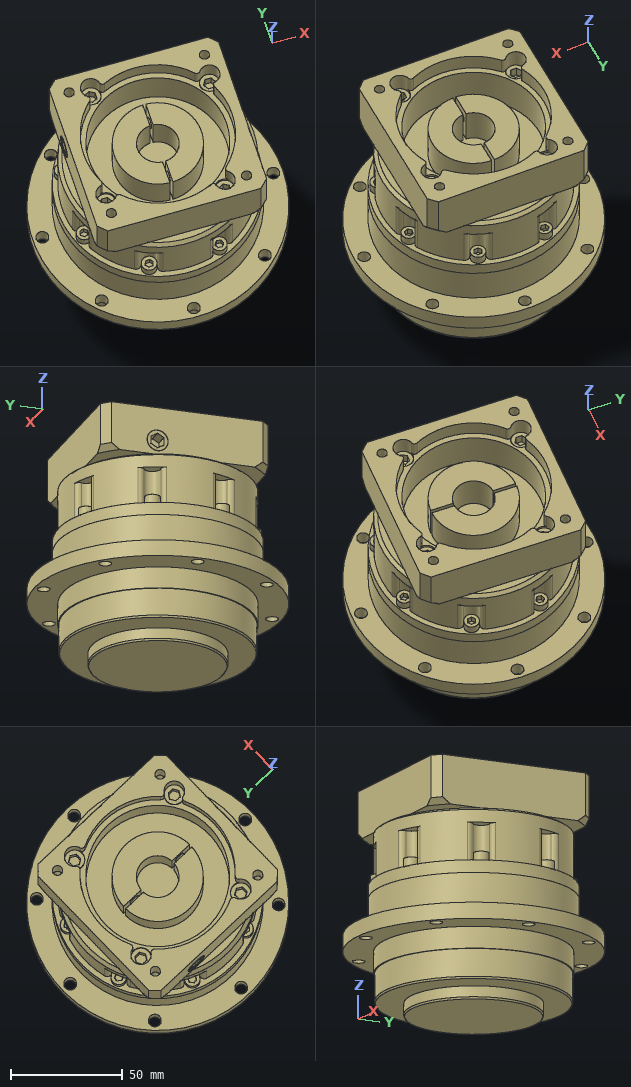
import cadquery as cq
import math

TOTAL_HEIGHT = 108.5
HUB_TOP = 6.0
REGISTER_TOP = 20.0
FLANGE_BOTTOM = 30.1
FLANGE_TOP = 37.6
HOUSING_SPLIT = 54.5
RING_TOP = 60.4
RECESS_TOP = 78.6
CAP_TOP = 85.7
BORE_FLOOR = 81.7
LEDGE_HEIGHT = 100.4
COLLAR_TOP = 99.0

FLANGE_RADIUS = 59.0
RING_RADIUS = 47.5
BODY_RADIUS = 45.1
REGISTER_RADIUS = 44.6
HUB_RADIUS = 31.5
EDGE_CHAMFER_HEIGHT = 1.0
EDGE_CHAMFER_WIDTH = 0.4
FLANGE_HOLE_COUNT = 8
FLANGE_HOLE_RADIUS = 2.8
FLANGE_HOLE_CIRCLE = 54.4

PLATE_WIDTH = 80.0
PLATE_CORNER_CHAMFER = 3.9
CORNER_RELIEF_HEIGHT = 3.0
CORNER_RELIEF_RADIUS = 51.3
CAP_CHAMFER_HEIGHT = 1.2
CAP_CHAMFER_WIDTH = 1.9
PILOT_RADIUS = 34.9
BORE_RADIUS = 32.3
MOTOR_HOLE_COUNT = 4
MOTOR_HOLE_RADIUS = 2.2
MOTOR_HOLE_OFFSET = 31.9
MOTOR_HOLE_DEPTH = 14.2
DRILL_POINT_ANGLE = 118.0

RING_SCREW_COUNT = 8
RING_SCREW_CIRCLE = 43.2
RING_SCREW_HEAD_RADIUS = 3.5
RING_SCREW_HEAD_HEIGHT = 4.2
RING_SCREW_HEX_RADIUS = 2.0
RING_SCREW_SOCKET_DEPTH = 3.0
RING_RECESS_RADIUS = 3.8
RING_RECESS_LIP_RADIUS = 2.4

PILOT_SCREW_COUNT = 4
PILOT_SCREW_CIRCLE = 38.1
PILOT_SCREW_FIRST_ANGLE = 35.0
PILOT_SCREW_RECESS = 1.2
PILOT_SCREW_HEX_RADIUS = 2.8
PILOT_SCREW_SOCKET_DEPTH = 4.7
PILOT_POCKET_RADIUS = 4.6
PILOT_POCKET_LIP_RADIUS = 1.5

PLUG_RADIUS = 5.0
PLUG_HEX_RADIUS = 3.5
PLUG_RECESS = 0.2
PLUG_SOCKET_DEPTH = 7.1

COLLAR_RADIUS = 20.5
COLLAR_BORE_RADIUS = 9.5
COLLAR_SLOT_WIDTH = 1.4
CLAMP_SCREW_OFFSET = 14.0
CLAMP_SCREW_HEIGHT = 92.5
CLAMP_SCREW_RADIUS = 2.5


def cylinder(radius, bottom, top):
    return cq.Workplane("XY").workplane(offset=bottom).circle(radius).extrude(top - bottom)


def revolved(profile):
    """Solid turned about Z from a closed outline of (radius, height) points."""
    return cq.Workplane("XZ").polyline(profile).close().revolve(360, (0, 0, 0), (0, 1, 0))


def hex_socket(radius, depth, top):
    """Upright hexagonal prism below a given height, with a corner toward local +X."""
    return cq.Workplane("XY").workplane(offset=top - depth).polygon(6, 2 * radius).extrude(depth)


def around_axis(tool, circle_radius, count, first_angle):
    """Copies of a tool built on the Z axis, spread evenly over a circle and turned with it."""
    copies = cq.Workplane("XY")
    for index in range(count):
        angle = first_angle + index * 360 / count
        copies = copies.add(tool.translate((circle_radius, 0, 0)).rotate((0, 0, 0), (0, 0, 1), angle))
    return copies.combine(clean=False)


def lipped_recess(pocket_radius, pocket_circle, wall_radius, lip_radius, opens_outward, bottom, top):
    """Round pocket that opens through a round wall, with rounded lips where it meets the wall."""
    sign = -1 if opens_outward else 1
    lip_circle = wall_radius + sign * lip_radius
    reach = pocket_radius + lip_radius
    lip_x = (lip_circle ** 2 + pocket_circle ** 2 - reach ** 2) / (2 * pocket_circle)
    lip_y = math.sqrt(lip_circle ** 2 - lip_x ** 2)
    wall_x = lip_x * wall_radius / lip_circle
    wall_y = lip_y * wall_radius / lip_circle
    neck_x = pocket_circle + (lip_x - pocket_circle) * pocket_radius / reach
    neck_y = lip_y * pocket_radius / reach
    toward_x = (wall_x + neck_x) / 2 - lip_x
    toward_y = (wall_y + neck_y) / 2 - lip_y
    toward = lip_radius / math.hypot(toward_x, toward_y)
    middle_x = lip_x + toward_x * toward
    middle_y = lip_y + toward_y * toward
    open_x = wall_x - sign * pocket_radius
    return (
        cq.Workplane("XY").workplane(offset=bottom)
        .moveTo(open_x, -wall_y)
        .lineTo(wall_x, -wall_y)
        .threePointArc((middle_x, -middle_y), (neck_x, -neck_y))
        .threePointArc((pocket_circle + sign * pocket_radius, 0), (neck_x, neck_y))
        .threePointArc((middle_x, middle_y), (wall_x, wall_y))
        .lineTo(open_x, wall_y)
        .close()
        .extrude(top - bottom)
    )


def make_output_housing():
    hub_bottom_radius = HUB_RADIUS - EDGE_CHAMFER_WIDTH
    register_bottom_radius = REGISTER_RADIUS - EDGE_CHAMFER_WIDTH
    profile = [
        (0, 0),
        (hub_bottom_radius, 0),
        (HUB_RADIUS, EDGE_CHAMFER_HEIGHT),
        (HUB_RADIUS, HUB_TOP),
        (register_bottom_radius, HUB_TOP),
        (REGISTER_RADIUS, HUB_TOP + EDGE_CHAMFER_HEIGHT),
        (REGISTER_RADIUS, REGISTER_TOP),
        (BODY_RADIUS, REGISTER_TOP),
        (BODY_RADIUS, FLANGE_BOTTOM),
        (FLANGE_RADIUS, FLANGE_BOTTOM),
        (FLANGE_RADIUS, FLANGE_TOP),
        (RING_RADIUS, FLANGE_TOP),
        (RING_RADIUS, HOUSING_SPLIT),
        (0, HOUSING_SPLIT),
    ]
    housing = revolved(profile)
    hole = cylinder(FLANGE_HOLE_RADIUS, FLANGE_BOTTOM, FLANGE_TOP)
    return housing.cut(around_axis(hole, FLANGE_HOLE_CIRCLE, FLANGE_HOLE_COUNT, 0))


def make_adapter_shell():
    profile = [
        (0, HOUSING_SPLIT),
        (RING_RADIUS, HOUSING_SPLIT),
        (RING_RADIUS, RING_TOP),
        (BODY_RADIUS, RING_TOP),
        (BODY_RADIUS, CAP_TOP - CAP_CHAMFER_HEIGHT),
        (BODY_RADIUS - CAP_CHAMFER_WIDTH, CAP_TOP),
        (0, CAP_TOP),
    ]
    return revolved(profile).union(make_plate())


def make_plate():
    """Square motor plate with chamfered corners, each undercut below by a common cone."""
    plate = (
        cq.Workplane("XY").workplane(offset=CAP_TOP)
        .rect(PLATE_WIDTH, PLATE_WIDTH)
        .extrude(TOTAL_HEIGHT - CAP_TOP)
        .edges("|Z").chamfer(PLATE_CORNER_CHAMFER)
    )
    corner_radius = math.hypot(PLATE_WIDTH / 2, PLATE_WIDTH / 2 - PLATE_CORNER_CHAMFER)
    relief = revolved([
        (CORNER_RELIEF_RADIUS, CAP_TOP),
        (corner_radius, CAP_TOP + CORNER_RELIEF_HEIGHT),
        (corner_radius, CAP_TOP),
    ])
    return plate.cut(relief)


def cut_ring_screw_recesses(adapter):
    recess = lipped_recess(
        RING_RECESS_RADIUS, RING_SCREW_CIRCLE, BODY_RADIUS, RING_RECESS_LIP_RADIUS, True, RING_TOP, RECESS_TOP
    )
    return adapter.cut(around_axis(recess, 0, RING_SCREW_COUNT, 180 / RING_SCREW_COUNT))


def add_ring_screw_heads(adapter):
    head_top = RING_TOP + RING_SCREW_HEAD_HEIGHT
    head = cylinder(RING_SCREW_HEAD_RADIUS, RING_TOP, head_top)
    head = head.cut(hex_socket(RING_SCREW_HEX_RADIUS, RING_SCREW_SOCKET_DEPTH, head_top))
    heads = around_axis(head, RING_SCREW_CIRCLE, RING_SCREW_COUNT, 180 / RING_SCREW_COUNT)
    return adapter.union(heads)


def cut_pilot_and_bore(adapter):
    adapter = adapter.cut(cylinder(PILOT_RADIUS, LEDGE_HEIGHT, TOTAL_HEIGHT))
    pocket = lipped_recess(
        PILOT_POCKET_RADIUS, PILOT_SCREW_CIRCLE, PILOT_RADIUS, PILOT_POCKET_LIP_RADIUS, False,
        LEDGE_HEIGHT, TOTAL_HEIGHT
    )
    adapter = adapter.cut(around_axis(pocket, 0, PILOT_SCREW_COUNT, PILOT_SCREW_FIRST_ANGLE))
    return adapter.cut(cylinder(BORE_RADIUS, BORE_FLOOR, TOTAL_HEIGHT))


def cut_pilot_screw_heads(adapter):
    """Screw heads filling the pockets up to just below the ledge, each with a hexagonal socket."""
    head_top = LEDGE_HEIGHT - PILOT_SCREW_RECESS
    seat = cylinder(PILOT_POCKET_RADIUS, head_top, LEDGE_HEIGHT)
    seat = seat.union(hex_socket(PILOT_SCREW_HEX_RADIUS, PILOT_SCREW_SOCKET_DEPTH, head_top))
    seat = seat.rotate((0, 0, 0), (0, 0, 1), -PILOT_SCREW_FIRST_ANGLE)
    return adapter.cut(around_axis(seat, PILOT_SCREW_CIRCLE, PILOT_SCREW_COUNT, PILOT_SCREW_FIRST_ANGLE))


def cut_motor_holes(adapter):
    tip_height = MOTOR_HOLE_RADIUS / math.tan(math.radians(DRILL_POINT_ANGLE / 2))
    full_bottom = TOTAL_HEIGHT - MOTOR_HOLE_DEPTH
    drill = revolved([
        (0, full_bottom - tip_height),
        (MOTOR_HOLE_RADIUS, full_bottom),
        (MOTOR_HOLE_RADIUS, TOTAL_HEIGHT),
        (0, TOTAL_HEIGHT),
    ])
    hole_circle = MOTOR_HOLE_OFFSET * math.sqrt(2)
    return adapter.cut(around_axis(drill, hole_circle, MOTOR_HOLE_COUNT, 180 / MOTOR_HOLE_COUNT))


def cut_plug(adapter):
    """Face of the plug sunk just below the side of the plate, with a hexagonal socket."""
    face = cylinder(PLUG_RADIUS, -PLUG_RECESS, 0)
    plug = face.union(hex_socket(PLUG_HEX_RADIUS, PLUG_SOCKET_DEPTH, -PLUG_RECESS))
    plug = plug.rotate((0, 0, 0), (0, 1, 0), -90)
    return adapter.cut(plug.translate((-PLATE_WIDTH / 2, CLAMP_SCREW_OFFSET, CLAMP_SCREW_HEIGHT)))


def make_motor_adapter():
    adapter = make_adapter_shell()
    adapter = cut_ring_screw_recesses(adapter)
    adapter = add_ring_screw_heads(adapter)
    adapter = cut_pilot_and_bore(adapter)
    adapter = cut_pilot_screw_heads(adapter)
    adapter = cut_motor_holes(adapter)
    return cut_plug(adapter)


def make_clamp_collar():
    """Slotted ring on the bore floor, its halves joined by a clamp screw across each slot."""
    height = COLLAR_TOP - BORE_FLOOR
    collar = cylinder(COLLAR_RADIUS, BORE_FLOOR, COLLAR_TOP)
    collar = collar.cut(cylinder(COLLAR_BORE_RADIUS, BORE_FLOOR, COLLAR_TOP))
    slot = (
        cq.Workplane("XY").workplane(offset=BORE_FLOOR)
        .rect(COLLAR_SLOT_WIDTH, 2 * COLLAR_RADIUS)
        .extrude(height)
    )
    collar = collar.cut(slot)
    for side in (-1, 1):
        shank = (
            cq.Workplane("YZ")
            .center(side * CLAMP_SCREW_OFFSET, CLAMP_SCREW_HEIGHT)
            .circle(CLAMP_SCREW_RADIUS)
            .extrude(COLLAR_SLOT_WIDTH, both=True)
        )
        collar = collar.union(shank)
    return collar


output_housing = make_output_housing()
motor_adapter = make_motor_adapter()
clamp_collar = make_clamp_collar()

result = cq.Compound.makeCompound([output_housing.val(), motor_adapter.val(), clamp_collar.val()])